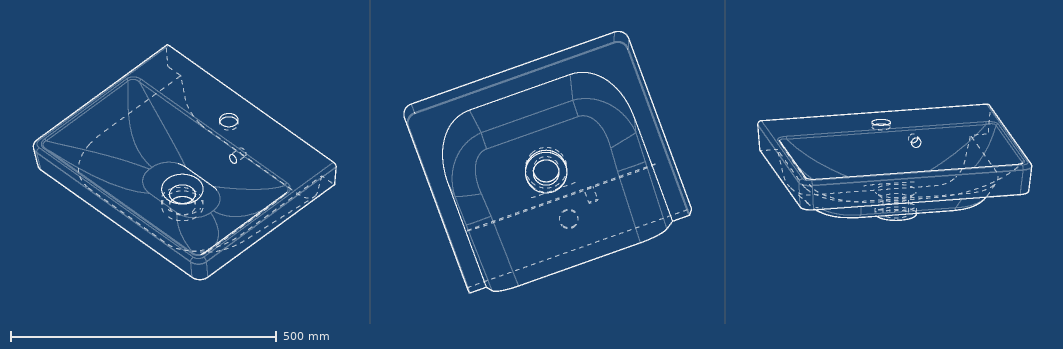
import cadquery as cq

width = 450.0
depth = 370.0
height = 155.2

rim_height = 60.0
rim_band = 8.0
rim_top_radius = 7.0
rim_bottom_radius = 2.0
rim_side_taper = 4.0
rim_front_taper = 8.0
rim_corner_radius = 21.0

belly_top_half_width = 186.8
belly_bottom_half_width = 165.5
belly_top_depth = 331.5
belly_front_depth = 278.5
belly_front_height = 113.0
belly_corner_radius = 99.0
belly_edge_radius = 54.0
belly_overlap = 4.5

bowl_sections = [
    (0.0, 210.0, 104.5, 356.0, 13.5),
    (-36.0, 189.0, 108.0, 326.2, 31.5),
    (-72.0, 148.5, 119.2, 288.0, 49.5),
    (-95.5, 81.0, 139.5, 236.2, 45.0),
]
bowl_floor = bowl_sections[-1][0]
bowl_lip_radius = 4.5

selection_margin = 0.5

drain_distance = 185.0
drain_boss_diameter = 78.5
drain_bore_diameter = 48.5
drain_seat_depth = 13.5
drain_boss_bottom = -141.0
tap_distance = 60.5
tap_diameter = 35.0
tap_hole_depth = 9.0
overflow_x = 57.0
overflow_level = -29.2
overflow_diameter = 18.0
overflow_start = 81.0
overflow_end = 135.0


def rim_outline(level, half_width, front):
    """Rim outline at one level: square at the wall, round at the front corners."""
    return (
        cq.Workplane("XY", origin=(0, 0, level))
        .moveTo(-half_width, 0)
        .lineTo(half_width, 0)
        .lineTo(half_width, -front + rim_corner_radius)
        .radiusArc((half_width - rim_corner_radius, -front), rim_corner_radius)
        .lineTo(-half_width + rim_corner_radius, -front)
        .radiusArc((-half_width, -front + rim_corner_radius), rim_corner_radius)
        .close()
    )


def make_rim():
    """Tapered slab under a straight band, with rounded exposed edges."""
    top = rim_outline(-rim_band, width / 2, depth)
    bottom = rim_outline(-rim_height, width / 2 - rim_side_taper, depth - rim_front_taper)
    skirt = cq.Solid.makeLoft([bottom.val(), top.val()], True)
    rim = top.extrude(rim_band).union(cq.Workplane(skirt))
    away_from_wall = cq.selectors.BoxSelector((-width, -depth, -height), (width, -selection_margin, height))
    rim = rim.faces(">Z").edges(away_from_wall).fillet(rim_top_radius)
    return rim.faces("<Z").edges(away_from_wall).fillet(rim_bottom_radius)


def make_belly():
    """Tapered body with a sloping underside and soft edges away from the wall."""
    side_slope = (belly_top_half_width - belly_bottom_half_width) / (height - rim_height)
    front_slope = (belly_top_depth - belly_front_depth) / (belly_front_height - rim_height)
    top_level = -rim_height + belly_overlap
    top_half_width = belly_top_half_width + side_slope * belly_overlap
    cross_section = (
        cq.Workplane("XZ")
        .polyline([
            (-top_half_width, top_level),
            (top_half_width, top_level),
            (belly_bottom_half_width, -height),
            (-belly_bottom_half_width, -height),
        ])
        .close()
        .extrude(depth)
    )
    side_section = (
        cq.Workplane("YZ")
        .polyline([
            (0, top_level),
            (-belly_top_depth - front_slope * belly_overlap, top_level),
            (-belly_front_depth, -belly_front_height),
            (0, -height),
        ])
        .close()
        .extrude(width / 2, both=True)
    )
    belly = cross_section.intersect(side_section)
    front_corners = belly.faces("<Y").edges("not #Z").edges("not |X")
    belly = front_corners.fillet(belly_corner_radius)
    underside_edges = belly.faces("<Z").edges("not(>Y)")
    return underside_edges.fillet(belly_edge_radius)


def bowl_outline(level, half_width, back, front, radius):
    """Rounded rectangle of the bowl at one level."""
    block = (
        cq.Workplane("XY", origin=(0, -(back + front) / 2, level))
        .rect(2 * half_width, front - back)
        .extrude(height)
        .edges("|Z")
        .fillet(radius)
    )
    return block.faces("<Z").wires().val()


def make_bowl():
    """Smooth body through all the bowl sections."""
    return cq.Workplane(cq.Solid.makeLoft([bowl_outline(*section) for section in bowl_sections]))


def cylinder(diameter, distance, top, bottom):
    """Upright cylinder on the centre plane at a distance from the wall."""
    return cq.Workplane("XY", origin=(0, -distance, bottom)).circle(diameter / 2).extrude(top - bottom)


def make_drain_cut():
    """Conical seat in the bowl floor above a through bore."""
    seat = cq.Solid.makeCone(
        drain_boss_diameter / 2,
        drain_bore_diameter / 2,
        drain_seat_depth,
        cq.Vector(0, -drain_distance, bowl_floor),
        cq.Vector(0, 0, -1),
    )
    bore = cylinder(drain_bore_diameter, drain_distance, bowl_floor, -height)
    return bore.union(cq.Workplane(seat))


def make_overflow_cut():
    """Blind round hole into the back wall of the bowl."""
    start = cq.Workplane("XZ", origin=(overflow_x, -overflow_start, overflow_level))
    return start.circle(overflow_diameter / 2).extrude(overflow_end - overflow_start)


result = make_rim().union(make_belly()).cut(make_bowl())
lip_limit = (rim_top_radius + width / 2 - bowl_sections[0][1]) / 2
bowl_lip = cq.selectors.BoxSelector(
    (-width / 2 + lip_limit, -depth + lip_limit, -selection_margin),
    (width / 2 - lip_limit, -tap_distance, selection_margin),
)
result = result.edges(bowl_lip).fillet(bowl_lip_radius)
drain_boss = cylinder(drain_boss_diameter, drain_distance, bowl_floor - drain_seat_depth, drain_boss_bottom)
result = result.union(drain_boss).cut(make_drain_cut())
result = result.cut(cylinder(tap_diameter, tap_distance, 0, -tap_hole_depth))
result = result.cut(make_overflow_cut())